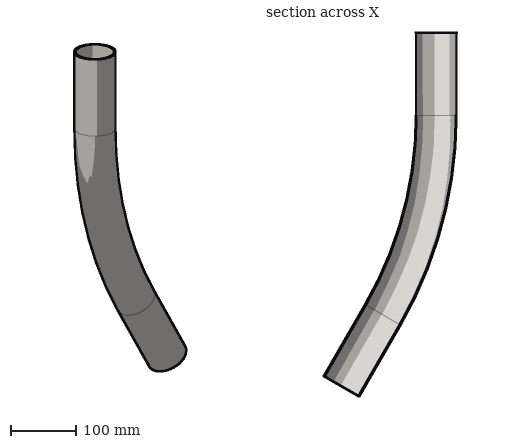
import cadquery as cq
import math

overall_height = 557.5
outer_diameter = 63.5
inner_diameter = 59.0
straight_length = 126.5
bend_angle = 30.0

bend_sin = math.sin(math.radians(bend_angle))
bend_cos = math.cos(math.radians(bend_angle))

straight_height = straight_length * (1 + bend_cos)
rim_height = outer_diameter / 2 * bend_sin
bend_radius = (overall_height - straight_height - rim_height) / bend_sin


def centreline_point(angle):
    """Point (Y, Z) on the bend, at an angle in radians below its upper end."""
    return (
        bend_radius * (1 - math.cos(angle)),
        -straight_length - bend_radius * math.sin(angle),
    )


bend_start = centreline_point(0)
bend_middle = centreline_point(math.radians(bend_angle / 2))
bend_end = centreline_point(math.radians(bend_angle))
lower_end = (
    bend_end[0] + straight_length * bend_sin,
    bend_end[1] - straight_length * bend_cos,
)
centreline = (
    cq.Workplane("YZ")
    .moveTo(0, 0)
    .lineTo(*bend_start)
    .threePointArc(bend_middle, bend_end)
    .lineTo(*lower_end)
)

result = (
    cq.Workplane("XY")
    .circle(outer_diameter / 2)
    .circle(inner_diameter / 2)
    .sweep(centreline)
)